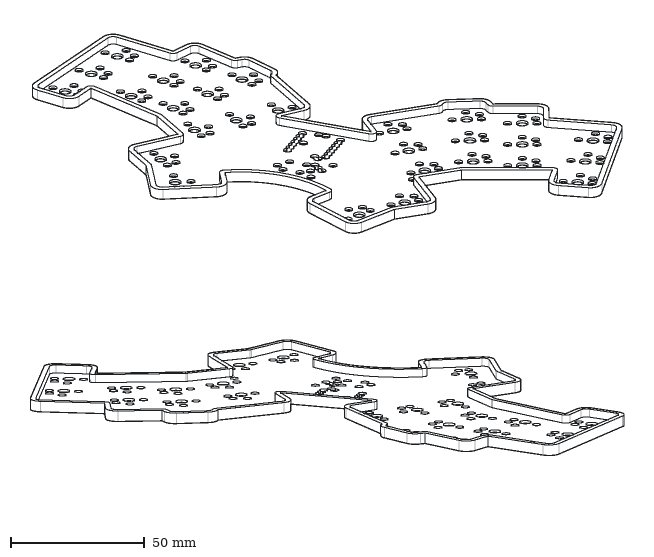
import cadquery as cq
import math

total_height = 4.0
floor_thickness = 1.0
wall_thickness = 2.0
corner_radius = 4.3
key_margin = 10.0
key_pitch = 17.5
stem_diameter = 4.3
pin_diameter = 3.0

pinky_home = (-99.2, 26.7)
pinky_tilt = 12.2
ring_home = (-72.0, 31.3)
ring_tilt = 21.7
middle_home = (-52.7, 27.1)
middle_tilt = 25.5
index_home = (-34.7, 10.7)
index_tilt = 41.1
inner_thumb = (-37.0, -45.6)
inner_thumb_tilt = 62.6
outer_thumb = (-49.0, -29.9)
outer_thumb_tilt = 41.1

middle_margin = 10.7
middle_cut_tilt = 45
middle_cut_margin = 11.6

thumb_end_margin = 11.9
thumb_inner_margin = 18.7

bridge_y = 14.5
arch_end_y = -35.5
arch_crown_y = -27.4

side_post_x = 5.5
switch_pins = [(-side_post_x, 0), (side_post_x, 0), (0, 6.0), (5.0, 3.9)]

header_spacing = 15.3
header_pins = 7
header_pitch = 2.5
header_y = 2.0

centre_holes = [
    (-1.5, 10.7), (1.4, 10.7), (-4.3, 2.3),
    (3.6, -6.6), (5.5, -8.0),
    (6.5, -13.2), (8.5, -15.0), (10.5, -16.7),
    (-3.5, -14.1), (3.5, -14.1), (-3.5, -21.0), (3.5, -21.0),
    (-6.6, -18.5), (6.6, -18.5),
    (8.7, -23.0), (12.8, -11.0), (44.7, -11.0),
]


def place(centre, tilt, point):
    """Position of a point given about a switch centre that is tilted clockwise."""
    c = math.cos(math.radians(tilt))
    s = math.sin(math.radians(tilt))
    return (centre[0] + c * point[0] + s * point[1], centre[1] - s * point[0] + c * point[1])


def column(home, tilt):
    """Top, home and bottom switch of a column."""
    return [place(home, tilt, (0, row * key_pitch)) for row in (1, 0, -1)]


def edge(centre, tilt, side, margin=key_margin):
    """Line of the skeleton outline beside a switch, as a point and a direction angle."""
    turn = {"right": 0, "top": 90, "left": 180, "bottom": 270}[side]
    normal = math.radians(turn - tilt)
    reach = margin - corner_radius
    point = (centre[0] + reach * math.cos(normal), centre[1] + reach * math.sin(normal))
    return point, normal + math.pi / 2


def meet(first, second):
    """Intersection of two lines."""
    (x1, y1), a1 = first
    (x2, y2), a2 = second
    along = ((x2 - x1) * math.sin(a2) - (y2 - y1) * math.cos(a2)) / math.sin(a2 - a1)
    return (x1 + along * math.cos(a1), y1 + along * math.sin(a1))


pinky = column(pinky_home, pinky_tilt)
ring = column(ring_home, ring_tilt)
middle = column(middle_home, middle_tilt)
index = column(index_home, index_tilt)


def skeleton():
    """Sharp-cornered outline that lies one corner radius inside the outer face of the wall."""
    lines = [
        ((0, bridge_y - corner_radius), math.pi),
        edge(index[0], index_tilt, "right"),
        edge(index[0], index_tilt, "top"),
        edge(middle[0], middle_tilt, "right", middle_margin),
        edge(middle[0], middle_tilt, "top", middle_margin),
        edge(middle[0], middle_cut_tilt, "left", middle_cut_margin),
        edge(ring[0], ring_tilt, "top"),
        edge(ring[0], ring_tilt, "left"),
        edge(pinky[0], pinky_tilt, "top"),
        edge(pinky[0], pinky_tilt, "left"),
        edge(pinky[2], pinky_tilt, "bottom"),
        edge(pinky[2], pinky_tilt, "right"),
        edge(ring[2], ring_tilt, "bottom"),
        edge(index[2], index_tilt, "bottom"),
        edge(outer_thumb, outer_thumb_tilt, "left"),
        edge(outer_thumb, outer_thumb_tilt, "bottom"),
        edge(inner_thumb, inner_thumb_tilt, "bottom"),
        edge(inner_thumb, inner_thumb_tilt, "right", thumb_end_margin),
        edge(inner_thumb, inner_thumb_tilt, "top", thumb_inner_margin),
        ((0, arch_end_y), 0),
    ]
    left = [meet(first, second) for first, second in zip(lines, lines[1:])]
    right = [(-x, y) for x, y in reversed(left)]
    path = cq.Workplane("XY").polyline(left).threePointArc((0, arch_crown_y), right[0])
    for corner in right[1:]:
        path = path.lineTo(*corner)
    return path.close()


def header_points():
    """Both pin rows of the controller header."""
    rows = [header_y + (row - (header_pins - 1) / 2) * header_pitch for row in range(header_pins)]
    return [(side * header_spacing / 2, y) for side in (-1, 1) for y in rows]


def cutters(points, diameter):
    """Drills through the floor."""
    return [cq.Solid.makeCylinder(diameter / 2, floor_thickness, cq.Vector(x, y, 0)) for x, y in points]


def outline():
    """Outer face of the wall, with every convex corner rounded."""
    return skeleton().offset2D(corner_radius, "arc")


pocket = outline().offset2D(-wall_thickness, "arc").extrude(total_height)
tray = outline().extrude(total_height).cut(pocket.translate((0, 0, floor_thickness)))

left_switches = [(centre, pinky_tilt) for centre in pinky]
left_switches += [(centre, ring_tilt) for centre in ring]
left_switches += [(centre, middle_tilt) for centre in middle]
left_switches += [(centre, index_tilt) for centre in index]
left_switches += [(outer_thumb, outer_thumb_tilt), (inner_thumb, inner_thumb_tilt)]
right_switches = [((-x, y), -tilt) for (x, y), tilt in left_switches]
switches = left_switches + right_switches

stem_points = [centre for centre, tilt in switches]
pin_points = [place(centre, tilt, hole) for centre, tilt in switches for hole in switch_pins]
pin_points += header_points() + centre_holes

drills = cutters(stem_points, stem_diameter) + cutters(pin_points, pin_diameter)
result = cq.Workplane(tray.val().cut(*drills))